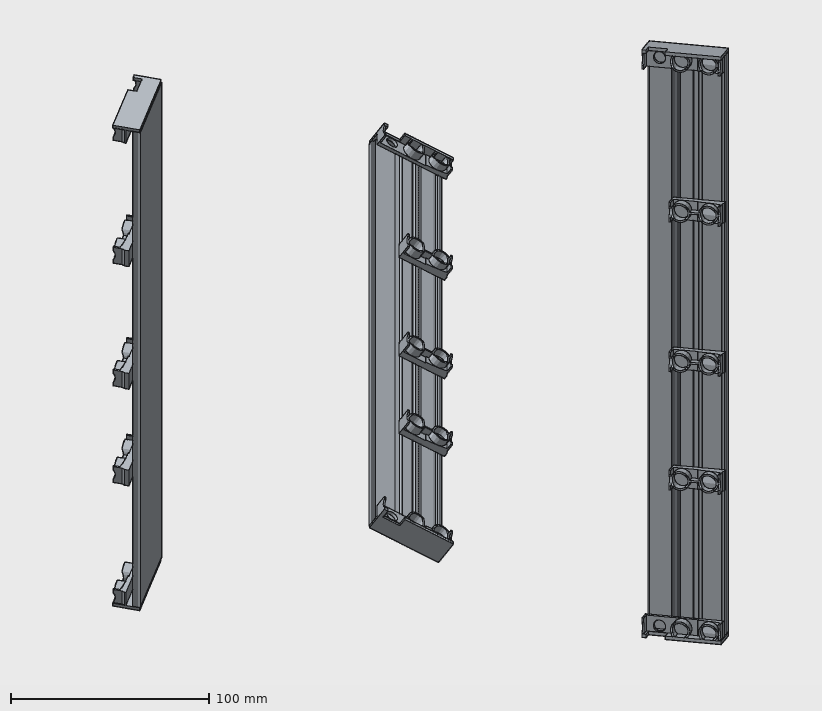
import cadquery as cq

DEPTH = 14.5
WIDTH = 41.5
LENGTH = 314.5
Y_HIGH = WIDTH / 2
Y_LOW = -WIDTH / 2

FLOOR_X = 10.0
RABBET_X = 11.5
RIDGE_X = 8.5
RIDGE_SIDE_X = 9.0
BEAD_X = 9.5
BEAD_LEDGE_X = 10.5
CHANNEL_X = 11.5
GROOVE_X = 13.0
LIP_X = 10.5
SIDE_FLARE_X = 13.2

RABBET_Y = 19.5
RIDGE_GROOVE_Y = 8.0
RIDGE_SIDE_Y = 6.0
RIDGE_Y = 4.7
RIDGE_FOOT_Y = 3.8
BEAD_FOOT_Y = -3.0
BEAD_TOP_Y = -4.0
BEAD_LEDGE_Y = -6.3
BEAD_BOTTOM_Y = -8.0
EDGE_SLOPE_Y = -16.5
EDGE_GROOVE_Y = -17.5
EDGE_LIP_Y = -19.5
SLOPE_DROP = 0.3
SIDE_FLARE = 0.3

HOLDER_HEIGHT = 10.5
BASE_FRONT_X = 5.0
BASE_BACK_X = 7.0
BASE_CURVE_Y = -7.2
BASE_STEP = 0.47
BASE_CURVE_RISE = 1.3
FLARE_FRONT_X = 4.7
FLARE_BACK_X = 6.3
WALL_SETBACK = 0.5
WALL_Y = Y_LOW + WALL_SETBACK
WALL_THICKNESS = 1.0
SOCKET_YS = (1.0, -13.8)
SOCKET_OUTER_DIAMETER = 10.0
SOCKET_BORE_DIAMETER = 8.2
SADDLE_DIAMETER = 10.0
SADDLE_DEPTH = 1.1

PLATE_THICKNESS = 2.0
PLATE_BACK_X = 14.0
NOTCH_DEPTH = 4.7
NOTCH_BOTTOM_Y = 8.5
TAB_WIDTH = 2.2
SCREW_HOLE_DIAMETER = 6.3
SCREW_HOLE_Y = 13.0

BRACKET_TOP_Y = 6.5
BRACKET_ZS = (71.7, -8.5, -71.7)
WEB_THICKNESS = 1.0

HALF_HEIGHT = HOLDER_HEIGHT / 2


def box(x_range, y_range, z_range):
    """Rectangular block between the given limits."""
    (x0, x1), (y0, y1), (z0, z1) = x_range, y_range, z_range
    return cq.Workplane("XY").box(x1 - x0, y1 - y0, z1 - z0, centered=False).translate((x0, y0, z0))


def front_plane(y):
    """Sketch plane at the front of a holder, facing +X, with its origin at the given Y."""
    return cq.Workplane("YZ", origin=(0, y, 0))


def make_rail():
    """Constant-section rail, fitted between the plates of the end caps."""
    outline = [
        (DEPTH, Y_HIGH),
        (RABBET_X, Y_HIGH),
        (RABBET_X, RABBET_Y),
        (FLOOR_X, RABBET_Y),
        (FLOOR_X, RIDGE_GROOVE_Y),
        (GROOVE_X - SLOPE_DROP, RIDGE_GROOVE_Y),
        (GROOVE_X, RIDGE_SIDE_Y),
        (RIDGE_SIDE_X, RIDGE_SIDE_Y),
        (RIDGE_X, RIDGE_Y),
        (BEAD_X, RIDGE_FOOT_Y),
        (CHANNEL_X, RIDGE_FOOT_Y),
        (CHANNEL_X, BEAD_FOOT_Y),
        (BEAD_LEDGE_X, BEAD_FOOT_Y),
        (BEAD_X, BEAD_TOP_Y),
        (BEAD_X + SLOPE_DROP, BEAD_LEDGE_Y),
        (BEAD_LEDGE_X, BEAD_LEDGE_Y),
        (BEAD_LEDGE_X, BEAD_BOTTOM_Y),
        (CHANNEL_X, BEAD_BOTTOM_Y),
        (CHANNEL_X, EDGE_SLOPE_Y),
        (CHANNEL_X + SLOPE_DROP, EDGE_GROOVE_Y),
        (GROOVE_X, EDGE_GROOVE_Y),
        (GROOVE_X, EDGE_LIP_Y),
        (LIP_X + SLOPE_DROP, EDGE_LIP_Y),
        (LIP_X, Y_LOW + SIDE_FLARE),
        (SIDE_FLARE_X, Y_LOW + SIDE_FLARE),
        (DEPTH, Y_LOW),
    ]
    rail_length = LENGTH - 2 * PLATE_THICKNESS
    section = cq.Workplane("XY", origin=(0, 0, -rail_length / 2)).polyline(outline).close()
    return section.extrude(rail_length)


def make_base(y_top):
    """Base of a holder: its front steps and curves forward towards -Y, its end there flares out."""
    curve_length = BASE_CURVE_Y - WALL_Y
    curve_radius = (curve_length**2 + BASE_CURVE_RISE**2) / (2 * BASE_CURVE_RISE)
    curve_start_x = BASE_FRONT_X - BASE_STEP
    outline = (
        cq.Workplane("XY", origin=(0, 0, -HALF_HEIGHT))
        .moveTo(BASE_FRONT_X, y_top)
        .lineTo(BASE_FRONT_X, BASE_CURVE_Y)
        .lineTo(curve_start_x, BASE_CURVE_Y)
        .radiusArc((curve_start_x - BASE_CURVE_RISE, WALL_Y), curve_radius)
        .lineTo(FLARE_FRONT_X, WALL_Y)
        .lineTo(FLARE_BACK_X, Y_LOW)
        .lineTo(BASE_BACK_X, Y_LOW)
        .lineTo(BASE_BACK_X, y_top)
        .close()
    )
    return outline.extrude(HOLDER_HEIGHT)


def make_wall(y_bottom, x_back):
    """Thin wall from the front of a holder back to its base."""
    return box((0, x_back), (y_bottom, y_bottom + WALL_THICKNESS), (-HALF_HEIGHT, HALF_HEIGHT))


def make_socket(y):
    """Open tube standing on the base."""
    tube = front_plane(y).circle(SOCKET_OUTER_DIAMETER / 2).circle(SOCKET_BORE_DIAMETER / 2)
    return tube.extrude(BASE_FRONT_X)


def cut_saddle(holder):
    """Shallow round groove along Y across the front of the walls and sockets."""
    axis_x = SADDLE_DEPTH - SADDLE_DIAMETER / 2
    saddle = cq.Workplane("XZ", origin=(axis_x, Y_HIGH, 0)).circle(SADDLE_DIAMETER / 2).extrude(WIDTH)
    return holder.cut(saddle)


def make_holder(y_top):
    """Base with its -Y end wall and two sockets, centred on Z = 0."""
    holder = make_base(y_top).union(make_wall(WALL_Y, FLARE_FRONT_X))
    for y in SOCKET_YS:
        holder = holder.union(make_socket(y))
    return holder


def make_web(y_bottom, y_top):
    """Thin web at mid-height of a bracket."""
    return box((0, BASE_FRONT_X), (y_bottom, y_top), (-WEB_THICKNESS / 2, WEB_THICKNESS / 2))


def make_bracket(z):
    """Middle bracket with webs beside its sockets and a foot resting on the rail ridge."""
    upper_y, lower_y = SOCKET_YS
    web_end = (SOCKET_OUTER_DIAMETER + SOCKET_BORE_DIAMETER) / 4
    bracket = make_holder(BRACKET_TOP_Y)
    bracket = bracket.union(make_wall(BRACKET_TOP_Y - WALL_THICKNESS, BASE_FRONT_X))
    bracket = bracket.union(make_web(lower_y + web_end, upper_y - web_end))
    bracket = bracket.union(make_web(WALL_Y, lower_y - web_end))
    foot = box((BASE_BACK_X, RIDGE_X), (Y_LOW, BRACKET_TOP_Y), (-HALF_HEIGHT, HALF_HEIGHT))
    return cut_saddle(bracket.union(foot)).translate((0, 0, z))


def make_plate():
    """End plate of a cap, notched to leave a narrow tab at its +Y side."""
    z_range = (HALF_HEIGHT - PLATE_THICKNESS, HALF_HEIGHT)
    plate = box((0, PLATE_BACK_X), (Y_LOW, Y_HIGH), z_range)
    return plate.cut(box((0, NOTCH_DEPTH), (NOTCH_BOTTOM_Y, Y_HIGH - TAB_WIDTH), z_range))


def make_top_cap():
    """End cap with its plate on the outside, closing the upper end of the rail."""
    cap = make_holder(Y_HIGH).union(make_wall(Y_HIGH - WALL_THICKNESS, BASE_FRONT_X))
    screw_hole = front_plane(SCREW_HOLE_Y).circle(SCREW_HOLE_DIAMETER / 2).extrude(BASE_BACK_X)
    cap = cut_saddle(cap.cut(screw_hole)).union(make_plate())
    return cap.translate((0, 0, LENGTH / 2 - HALF_HEIGHT))


rail = make_rail()
top_cap = make_top_cap()
bottom_cap = top_cap.mirror("XY")
brackets = [make_bracket(z) for z in BRACKET_ZS]

result = cq.Compound.makeCompound(
    [rail.val(), top_cap.val(), bottom_cap.val(), *[bracket.val() for bracket in brackets]]
)